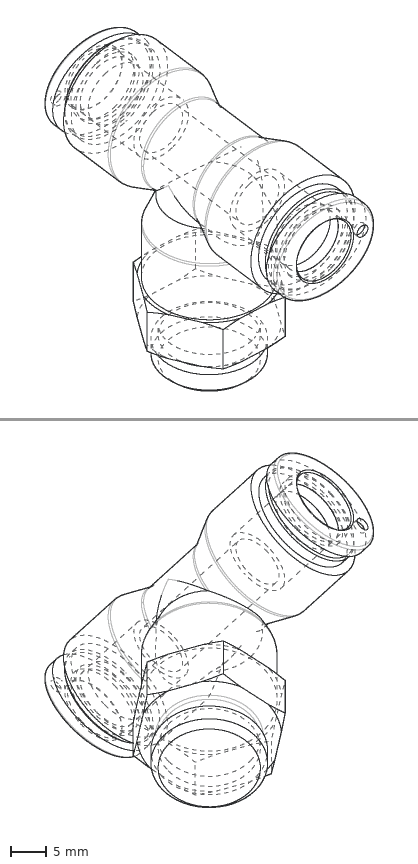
import cadquery as cq
import math


overall_length = 51.4
socket_dia = 19.4
waist_dia = 15.2
waist_end = 5.7
taper_end = 10.7
taper_blend = 1.05
flow_bore_dia = 8.0
tube_bore_dia = 10.2
branch_length = 20.7

collar_dia = 16.5
collar_length = 1.8
collar_chamfer = 0.3

sleeve_length = 3.1
flange_width = 18.5
flange_height = 16.05
flange_thickness = 1.95
flange_round = 0.35
neck_dia = 11.7
sleeve_bore_dia = 10.15
bore_chamfer = 0.25
dimple_dia = 2.0
dimple_depth = 0.75
dimple_offset = 7.0

hex_flats = 20.0
hex_height = 8.05
hex_chamfer_dia = 20.65
hex_chamfer_angle = 20.0
thread_dia = 16.65
undercut_dia = 14.6
undercut_length = 2.45
undercut_fillet = 0.4
thread_lead_in = 0.6
thread_length = 3.85
thread_chamfer = 1.05

sleeve_face = overall_length / 2
collar_face = sleeve_face - sleeve_length
housing_end = collar_face - collar_length
hex_corners = hex_flats / math.cos(math.radians(30))
hex_bottom = -branch_length - hex_height


def tapered_limb(length, rounded_ends):
    """Half-limb along +X: waist, taper and socket; rounded_ends lists the taper corners to fillet."""
    limb = (
        cq.Workplane("XY")
        .polyline([
            (0, 0),
            (0, waist_dia / 2),
            (waist_end, waist_dia / 2),
            (taper_end, socket_dia / 2),
            (length, socket_dia / 2),
            (length, 0),
        ])
        .close()
        .revolve(360, (0, 0, 0), (1, 0, 0))
    )
    for station in rounded_ends:
        corner = cq.selectors.NearestToPointSelector((station, 0, 0))
        limb = limb.edges("%CIRCLE").edges(corner).fillet(taper_blend)
    return limb


def x_cylinder(diameter, start, length):
    return cq.Workplane("YZ").workplane(offset=start).circle(diameter / 2).extrude(length)


def make_housing():
    arm = tapered_limb(housing_end, [waist_end, taper_end])
    branch = tapered_limb(branch_length, [taper_end]).rotate((0, 0, 0), (0, 1, 0), 90)
    body = arm.union(arm.rotate((0, 0, 0), (0, 0, 1), 180)).union(branch)
    body = body.cut(x_cylinder(flow_bore_dia, -housing_end, 2 * housing_end))
    socket_depth = housing_end - taper_end
    for socket_start in (taper_end, -housing_end):
        body = body.cut(x_cylinder(tube_bore_dia, socket_start, socket_depth))
    return body


def make_collar():
    """Collar on the +X end of the run."""
    return (
        x_cylinder(collar_dia, housing_end, collar_length)
        .faces(">X").edges().chamfer(collar_chamfer)
        .cut(x_cylinder(tube_bore_dia, housing_end, collar_length))
    )


def make_sleeve():
    """Release sleeve on the +X end: oval flange, round neck and a dimple on the face."""
    flange = (
        cq.Workplane("YZ").workplane(offset=sleeve_face - flange_thickness)
        .ellipse(flange_width / 2, flange_height / 2).extrude(flange_thickness)
        .faces(">X").edges().fillet(flange_round)
    )
    sleeve = flange.union(x_cylinder(neck_dia, collar_face, sleeve_length - flange_thickness))
    sleeve = sleeve.cut(x_cylinder(sleeve_bore_dia, collar_face, sleeve_length))
    sleeve = sleeve.faces(">X").edges("%CIRCLE").chamfer(bore_chamfer)
    dimple = x_cylinder(dimple_dia, sleeve_face - dimple_depth, dimple_depth)
    return sleeve.cut(dimple.translate((0, dimple_offset, 0)))


def make_hex():
    """Hexagon with corners on Y and both ends chamfered by a shallow cone."""
    prism = (
        cq.Workplane("XY").workplane(offset=hex_bottom)
        .polygon(6, hex_corners).extrude(hex_height)
        .rotate((0, 0, 0), (0, 0, 1), 90)
    )
    flat_radius = hex_chamfer_dia / 2
    corner_radius = hex_corners / 2
    drop = (corner_radius - flat_radius) * math.tan(math.radians(hex_chamfer_angle))
    envelope = (
        cq.Workplane("XZ")
        .polyline([
            (0, hex_bottom),
            (flat_radius, hex_bottom),
            (corner_radius, hex_bottom + drop),
            (corner_radius, -branch_length - drop),
            (flat_radius, -branch_length),
            (0, -branch_length),
        ])
        .close()
        .revolve(360, (0, 0, 0), (0, 1, 0))
    )
    return prism.intersect(envelope)


def make_stud():
    undercut_bottom = hex_bottom - undercut_length
    thread_top = undercut_bottom - thread_lead_in
    thread_bottom = thread_top - thread_length
    shank = (
        cq.Workplane("XZ")
        .moveTo(0, hex_bottom)
        .lineTo(undercut_dia / 2 + undercut_fillet, hex_bottom)
        .radiusArc((undercut_dia / 2, hex_bottom - undercut_fillet), -undercut_fillet)
        .lineTo(undercut_dia / 2, undercut_bottom)
        .lineTo(thread_dia / 2, thread_top)
        .lineTo(thread_dia / 2, thread_bottom + thread_chamfer)
        .lineTo(thread_dia / 2 - thread_chamfer, thread_bottom)
        .lineTo(0, thread_bottom)
        .close()
        .revolve(360, (0, 0, 0), (0, 1, 0))
    )
    return make_hex().union(shank)


housing = make_housing()
stud = make_stud()

end_bodies = []
for turn in (0, 180):
    for end_body in (make_collar(), make_sleeve()):
        end_bodies.append(end_body.rotate((0, 0, 0), (0, 0, 1), turn).val())

result = cq.Compound.makeCompound([housing.val(), stud.val(), *end_bodies])